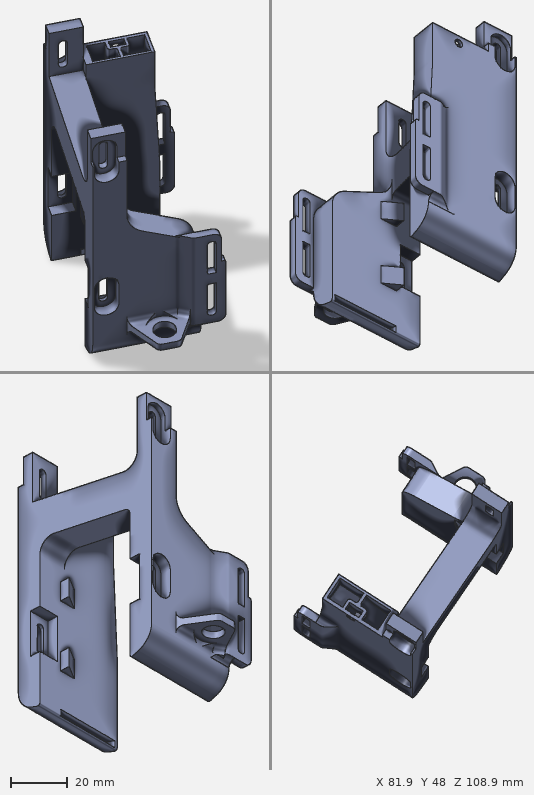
import cadquery as cq
import math

leg_outer = 32.6
leg_inner = 22.0
total_height = 108.9
frame_depth = 12.6

heel_radius = 9.4
toe_radius = 1.0
sole_angle = math.radians(18.4)

tab_inner = 25.5
tab_outer = 30.1
shoulder_z = 97.3

bridge_angle = math.radians(9.6)
bridge_top_z = 87.8
bridge_bottom_z = 70.9
bridge_radius = 6.0
small_bridge_radius = 3.0

leg_depth = 39.8
left_top_z = 93.5
left_top_depth = 37.9
taper_top_z = 76.2
taper_bottom_z = 38.1
right_rear_z = 50.6
right_top_angle = math.radians(26)
right_top_radius = 10.0

slot_y = 5.1
slot_heights = (32.3, 97.6)
slot_width = 3.3
slot_length = 12.9
counterbore_width = 8.9
counterbore_length = 18.1
counterbore_depth = 4.6

notch_width = 4.6
notch_depth = 8.9
notch_bottom_z = 22.8
notch_top_z = 41.9

peg_size = 4.1
peg_front_y = 10.7
peg_back_y = 17.6
peg_height = 8.1
peg_bottoms = (19.6, 49.3)

groove_front_y = 10.8
groove_back_y = 38.4
groove_bottom_z = 0.4
groove_top_z = 3.3
groove_depth = 4.4

wing_thickness = 2.9
wing_bottom_z = 12.6
wing_top_z = 55.7
wing_step_z = 41.9
wing_depth = 48.0
wing_upper_depth = 46.5
wing_radius = 3.0
wing_step_radius = 1.0
wing_root_y = 31.1
wing_slant_angle = math.radians(30)
wing_crest_y = wing_root_y + wing_thickness / math.tan(wing_slant_angle)
blend_radius = 2.8
wing_slot_y = 42.9
wing_slot_width = 3.3
wing_slot_round_radius = 1.5
wing_slot_corner_radius = 0.7
wing_slot_spans = ((31.7, 16.2), (36.7, 52.3))

ear_bottom_z = 14.6
ear_thickness = 2.9
ear_end_x = 46.4
ear_center_x = 39.4
ear_center_y = 24.5
ear_hole_diameter = 8.3
ear_angle = math.radians(30)
ear_corner_radius = 2.2
ear_clearance_radius = 7.0

pocket_left_x = -31.3
pocket_right_x = -23.0
rear_pocket_y = (26.7, 36.7)
front_pocket_y = (15.4, 25.5)
pin_pocket_right_x = -28.4
pin_pocket_y = (23.4, 29.1)
pin_housing_right_x = -27.3
pin_housing_y = (22.1, 30.2)
pin_housing_radius = 1.0
pocket_depth = 13.1
rear_floor_angle = math.radians(13)
rear_floor_radius = 6.9
front_floor_angle = math.radians(26)
front_floor_radius = 7.6
pin_pocket_depth = 8.7
pin_pocket_point = 1.4
pin_hole_diameter = 3.3
pin_hole_y = 26.0
pin_hole_z = 90.2


def box(x_range, y_range, z_range):
    """Box between pairs of coordinates."""
    size = [max(r) - min(r) for r in (x_range, y_range, z_range)]
    corner = tuple(min(r) for r in (x_range, y_range, z_range))
    return cq.Workplane("XY").box(*size, centered=False).translate(corner)


def mirrored(solid):
    return solid.mirror("YZ")


def both_sides(solid):
    return solid.union(mirrored(solid))


def extrude_y(sketch, y_start, y_end):
    """Extrude a sketch drawn on XZ from y_start back to y_end."""
    return sketch.extrude(y_start - y_end).translate((0, y_start, 0))


def round_corner(solid, direction, point, radius):
    """Fillet the edge along a direction that passes closest to a point."""
    nearest = cq.selectors.NearestToPointSelector(point)
    return solid.edges(direction).edges(nearest).fillet(radius)


def leg(front_y, back_y):
    """Right leg as a full prism between two depths, from the toe up to the shoulder."""
    sine = math.sin(sole_angle)
    cosine = math.cos(sole_angle)
    toe_x = leg_inner + toe_radius
    heel_x = leg_outer - heel_radius
    heel_z = (heel_radius - toe_radius + sine * (heel_x - toe_x)) / cosine + toe_radius
    half_toe = (math.pi / 2 - sole_angle) / 2

    def around(x, z, radius, angle):
        return (x + radius * math.cos(angle), z + radius * math.sin(angle))

    sole = sole_angle - math.pi / 2
    outline = (
        cq.Workplane("XZ")
        .moveTo(leg_inner, shoulder_z)
        .lineTo(leg_inner, toe_radius)
        .threePointArc(
            around(toe_x, toe_radius, toe_radius, -math.pi / 2 - half_toe),
            around(toe_x, toe_radius, toe_radius, sole),
        )
        .lineTo(*around(heel_x, heel_z, heel_radius, sole))
        .threePointArc(
            around(heel_x, heel_z, heel_radius, sole / 2),
            (leg_outer, heel_z),
        )
        .lineTo(leg_outer, shoulder_z)
        .close()
    )
    return extrude_y(outline, front_y, back_y)


def front_frame():
    """Both front legs, their tabs and the slanted bridge, with rounded inner corners."""
    slope = math.tan(bridge_angle)

    def top_z(x):
        return bridge_top_z - slope * (x + tab_inner)

    def bottom_z(x):
        return bridge_bottom_z - slope * (x + leg_inner)

    tab = box((tab_inner, tab_outer), (0, frame_depth), (shoulder_z, total_height))
    bridge = extrude_y(
        cq.Workplane("XZ").polyline([
            (-tab_inner, top_z(-tab_inner)),
            (tab_inner, top_z(tab_inner)),
            (leg_inner, bottom_z(leg_inner)),
            (-leg_inner, bottom_z(-leg_inner)),
        ]).close(),
        0, frame_depth,
    )
    gap_above = extrude_y(
        cq.Workplane("XZ").polyline([
            (-tab_inner, total_height),
            (-tab_inner, top_z(-tab_inner)),
            (tab_inner, top_z(tab_inner)),
            (tab_inner, total_height),
        ]).close(),
        0, frame_depth,
    )
    frame = both_sides(leg(0, frame_depth).union(tab)).union(bridge).cut(gap_above)
    corners = (
        (tab_inner, top_z(tab_inner), bridge_radius),
        (-leg_inner, bottom_z(-leg_inner), bridge_radius),
        (leg_inner, bottom_z(leg_inner), small_bridge_radius),
    )
    for x, z, radius in corners:
        frame = round_corner(frame, "|Y", (x, frame_depth / 2, z), radius)
    return frame


def left_side_profile():
    """Side outline of the left leg, with a rear face that tapers inwards."""
    return cq.Workplane("YZ").polyline([
        (0, 0),
        (leg_depth, 0),
        (leg_depth, taper_bottom_z),
        (left_top_depth, taper_top_z),
        (left_top_depth, left_top_z),
        (0, left_top_z),
    ]).close().extrude(leg_outer + wing_thickness, both=True)


def right_side_profile():
    """Side outline of the right leg, with a sloped top blended into the frame."""
    front_z = right_rear_z + (leg_depth - frame_depth) * math.tan(right_top_angle)
    profile = cq.Workplane("YZ").polyline([
        (0, 0),
        (leg_depth, 0),
        (leg_depth, right_rear_z),
        (frame_depth, front_z),
        (frame_depth, left_top_z),
        (0, left_top_z),
    ]).close().extrude(leg_outer + wing_thickness, both=True)
    for y, z in ((leg_depth, right_rear_z), (frame_depth, front_z)):
        profile = round_corner(profile, "|X", (0, y, z), right_top_radius)
    return profile


def wing_plate():
    """Flat rear plate of the right wing, with its two strap slots."""
    start_y = wing_crest_y + blend_radius * math.tan(wing_slant_angle / 2)
    plate = cq.Workplane("YZ").polyline([
        (start_y, wing_bottom_z),
        (wing_depth, wing_bottom_z),
        (wing_depth, wing_step_z),
        (wing_upper_depth, wing_step_z),
        (wing_upper_depth, wing_top_z),
        (start_y, wing_top_z),
    ]).close().extrude(wing_thickness)
    corners = (
        (wing_depth, wing_bottom_z, wing_radius),
        (wing_upper_depth, wing_top_z, wing_radius),
        (wing_depth, wing_step_z, wing_step_radius),
    )
    for y, z, radius in corners:
        plate = round_corner(plate, "|X", (wing_thickness / 2, y, z), radius)
    half_width = wing_slot_width / 2
    for square_z, round_z in wing_slot_spans:
        slot_y_range = (wing_slot_y - half_width, wing_slot_y + half_width)
        slot = box((0, wing_thickness), slot_y_range, (square_z, round_z))
        slot_corners = (
            (wing_slot_y - half_width, round_z, wing_slot_round_radius),
            (wing_slot_y + half_width, round_z, wing_slot_round_radius),
            (wing_slot_y - half_width, square_z, wing_slot_corner_radius),
        )
        for y, z, radius in slot_corners:
            slot = round_corner(slot, "|X", (wing_thickness / 2, y, z), radius)
        plate = plate.cut(slot)
    return plate.translate((leg_outer, 0, 0))


def wing_root(limits):
    """Slanted front of the right wing, flaring into the leg, kept inside the given limits."""
    low_z = wing_bottom_z - blend_radius
    high_z = wing_top_z + blend_radius
    inside_x = leg_outer - wing_thickness
    front_y = wing_root_y - blend_radius
    slant = cq.Workplane("XY").polyline([
        (inside_x, front_y),
        (leg_outer, front_y),
        (leg_outer, wing_root_y),
        (leg_outer + wing_thickness, wing_crest_y),
        (leg_outer + wing_thickness, leg_depth),
        (inside_x, leg_depth),
    ]).close().extrude(high_z - low_z).translate((0, 0, low_z))
    for x, y in ((leg_outer, wing_root_y), (leg_outer + wing_thickness, wing_crest_y)):
        slant = round_corner(slant, "|Z", (x, y, (low_z + high_z) / 2), blend_radius)

    blend_x = leg_outer + blend_radius
    corner_offset = blend_radius * math.sqrt(0.5)
    flare = extrude_y(
        cq.Workplane("XZ")
        .moveTo(inside_x, low_z)
        .lineTo(leg_outer, low_z)
        .threePointArc((blend_x - corner_offset, low_z + corner_offset), (blend_x, wing_bottom_z))
        .lineTo(leg_outer + wing_thickness, wing_bottom_z)
        .lineTo(leg_outer + wing_thickness, wing_top_z)
        .lineTo(blend_x, wing_top_z)
        .threePointArc((blend_x - corner_offset, high_z - corner_offset), (leg_outer, high_z))
        .lineTo(inside_x, high_z)
        .close(),
        front_y, leg_depth,
    )
    return slant.intersect(flare).intersect(limits)


def ear_outline(height):
    """Tapering ear outline, cut off square at its outer end."""
    slope = math.tan(ear_angle)
    half_root = (ear_center_x - leg_outer) * slope + ear_clearance_radius / math.cos(ear_angle)
    half_end = half_root - (ear_end_x - leg_outer) * slope
    return (
        cq.Workplane("XY")
        .polyline([
            (leg_outer, ear_center_y - half_root),
            (ear_end_x, ear_center_y - half_end),
            (ear_end_x, ear_center_y + half_end),
            (leg_outer, ear_center_y + half_root),
        ])
        .close()
        .extrude(height)
        .edges("|Z and >X")
        .fillet(ear_corner_radius)
    )


def ear_gusset():
    """Concave blend above and below the ear along a wall at X = 0, centred on Y = 0."""
    top = ear_thickness + blend_radius
    corner = blend_radius * (1 - math.sqrt(0.5))
    outline = (
        cq.Workplane("XZ")
        .moveTo(-blend_radius, -blend_radius)
        .lineTo(0, -blend_radius)
        .threePointArc((corner, -corner), (blend_radius, 0))
        .lineTo(blend_radius, ear_thickness)
        .threePointArc((corner, ear_thickness + corner), (0, top))
        .lineTo(-blend_radius, top)
        .close()
    )
    return outline.extrude(leg_depth, both=True)


def ear():
    plate = ear_outline(ear_thickness)
    wall_gusset = ear_gusset().translate((leg_outer, 0, 0))
    slant_gusset = (
        ear_gusset()
        .rotate((0, 0, 0), (0, 0, 1), -math.degrees(wing_slant_angle))
        .translate((leg_outer, wing_root_y, 0))
    )
    limits = ear_outline(ear_thickness + 2 * blend_radius).translate((0, 0, -blend_radius))
    clearance = (
        cq.Workplane("XY")
        .center(ear_center_x, ear_center_y)
        .circle(ear_clearance_radius)
        .extrude(ear_thickness + 2 * blend_radius)
        .translate((0, 0, -blend_radius))
    )
    gussets = wall_gusset.union(slant_gusset).intersect(limits).cut(clearance)
    hole = (
        cq.Workplane("XY")
        .center(ear_center_x, ear_center_y)
        .circle(ear_hole_diameter / 2)
        .extrude(ear_thickness)
    )
    return plate.union(gussets).cut(hole).translate((0, 0, ear_bottom_z))


def pegs():
    """Wedges on the inner face of the right leg, flat at the front."""
    wedges = cq.Workplane("XY")
    for bottom in peg_bottoms:
        wedge = cq.Workplane("XY").polyline([
            (leg_inner, peg_front_y),
            (leg_inner - peg_size, peg_front_y),
            (leg_inner, peg_back_y),
        ]).close().extrude(peg_height)
        wedges = wedges.add(wedge.translate((0, 0, bottom)))
    return wedges.combine()


def screw_slots():
    """Through slots of the right leg with their outer counterbores."""
    cutter = cq.Workplane("YZ")
    for z in slot_heights:
        through = (
            cq.Workplane("YZ")
            .workplane(offset=leg_inner)
            .center(slot_y, z)
            .slot2D(slot_length, slot_width, 90)
            .extrude(leg_outer - leg_inner)
        )
        counterbore = (
            cq.Workplane("YZ")
            .workplane(offset=leg_outer - counterbore_depth)
            .center(slot_y, z)
            .slot2D(counterbore_length, counterbore_width, 90)
            .extrude(counterbore_depth)
        )
        cutter = cutter.add(through.union(counterbore))
    return cutter.combine()


def inner_notch():
    return box(
        (leg_inner, leg_inner + notch_width), (0, notch_depth), (notch_bottom_z, notch_top_z)
    )


def bottom_groove():
    """Slot low in the inner face of the right leg, its floor parallel to the sole."""
    end_x = leg_inner + groove_depth
    rise = groove_depth * math.tan(sole_angle)
    outline = cq.Workplane("XZ").polyline([
        (leg_inner, groove_bottom_z),
        (end_x, groove_bottom_z + rise),
        (end_x, groove_top_z + rise),
        (leg_inner, groove_top_z),
    ]).close()
    return extrude_y(outline, groove_front_y, groove_back_y)


def cable_pockets():
    """Rear pocket with a floor falling to the right, front pocket with one falling to the front."""
    floor_z = left_top_z - pocket_depth
    width = pocket_right_x - pocket_left_x
    rear_high_z = floor_z + width * math.tan(rear_floor_angle)
    rear = extrude_y(
        cq.Workplane("XZ").polyline([
            (pocket_left_x, left_top_z),
            (pocket_left_x, rear_high_z),
            (pocket_right_x, floor_z),
            (pocket_right_x, left_top_z),
        ]).close(),
        *rear_pocket_y,
    )
    rear_corner = (pocket_left_x, sum(rear_pocket_y) / 2, rear_high_z)
    rear = round_corner(rear, "|Y", rear_corner, rear_floor_radius)

    front_y, back_y = front_pocket_y
    front_high_z = floor_z + (back_y - front_y) * math.tan(front_floor_angle)
    front = cq.Workplane("YZ").workplane(offset=pocket_left_x).polyline([
        (front_y, left_top_z),
        (front_y, floor_z),
        (back_y, front_high_z),
        (back_y, left_top_z),
    ]).close().extrude(width)
    front_corner = (pocket_left_x + width / 2, back_y, front_high_z)
    front = round_corner(front, "|X", front_corner, front_floor_radius)
    return rear.union(front)


def pin_housing():
    """Thin-walled block around the pin pocket, rounded where it meets the cable pockets."""
    low_y, high_y = pin_housing_y
    wall_y = (front_pocket_y[1], rear_pocket_y[0])
    housing = box(
        (pocket_left_x, pin_housing_right_x), pin_housing_y, (0, left_top_z)
    ).union(box((pocket_left_x, pocket_right_x), wall_y, (0, left_top_z)))
    for y in (low_y, high_y, *wall_y):
        corner = (pin_housing_right_x, y, left_top_z / 2)
        housing = round_corner(housing, "|Z", corner, pin_housing_radius)
    return housing


def top_pockets():
    """Two cable pockets and, in the housing between them, a pin pocket with a V floor."""
    pin_floor_z = left_top_z - pin_pocket_depth
    pin_pocket = (
        cq.Workplane("YZ")
        .workplane(offset=pocket_left_x)
        .polyline([
            (pin_pocket_y[0], left_top_z),
            (pin_pocket_y[0], pin_floor_z),
            (sum(pin_pocket_y) / 2, pin_floor_z - pin_pocket_point),
            (pin_pocket_y[1], pin_floor_z),
            (pin_pocket_y[1], left_top_z),
        ])
        .close()
        .extrude(pin_pocket_right_x - pocket_left_x)
    )
    pin_hole = (
        cq.Workplane("YZ")
        .workplane(offset=-leg_outer)
        .center(pin_hole_y, pin_hole_z)
        .circle(pin_hole_diameter / 2)
        .extrude(pin_pocket_right_x + leg_outer)
    )
    return cable_pockets().cut(pin_housing()).union(pin_pocket).union(pin_hole)


left_profile = left_side_profile()
right_profile = right_side_profile()
left_leg = mirrored(leg(frame_depth, leg_depth)).intersect(left_profile)
right_leg = leg(frame_depth, leg_depth).intersect(right_profile)

result = front_frame().union(left_leg).union(right_leg)
right_wing_limits = box((leg_outer, leg_outer + wing_thickness), (0, leg_depth), (0, wing_top_z))
result = result.union(wing_root(right_wing_limits))
result = result.union(mirrored(wing_root(left_profile)))
result = result.union(both_sides(wing_plate()))
result = result.union(both_sides(pegs()))
result = result.union(ear())
for cutter in (screw_slots(), inner_notch(), bottom_groove()):
    result = result.cut(cutter).cut(mirrored(cutter))
result = result.cut(top_pockets())